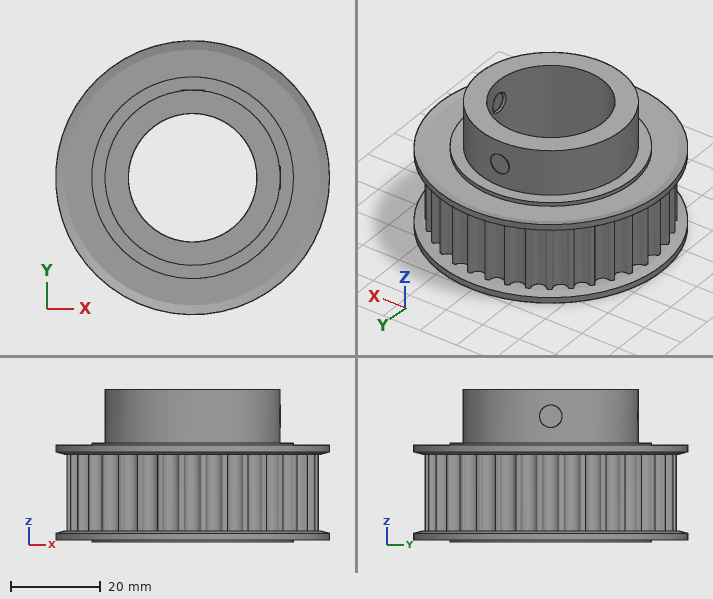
import cadquery as cq
import math

hub_diameter = 39.0
bore_diameter = 28.55
collar_diameter = 44.9
tooth_diameter = 56.1

tooth_count = 36
groove_radius = 1.8
groove_depth = 1.95
groove_edge_round = 0.3

rim_length = 22.0
hub_length = 11.95
collar_height = 1.0

flange_diameter = 61.0
flange_bend_diameter = 56.9
flange_thickness = 1.5
lip_offset = 0.55

screw_diameter = 5.0
screw_length = 5.0
screw_height_on_hub = 6.0
screw_recess = 0.3
screw_chamfer = 0.4
screw_directions = (0, 90)

total_height = rim_length + hub_length
tooth_bottom = collar_height + flange_thickness
tooth_length = rim_length - 2 * tooth_bottom
screw_z = rim_length + screw_height_on_hub
screw_inner_end = bore_diameter / 2 + screw_recess


def make_cylinder(diameter, bottom, height):
    return cq.Workplane("XY").workplane(offset=bottom).circle(diameter / 2).extrude(height)


def make_screw(direction):
    """Set screw with a chamfered inner end, lying radially in the hub wall."""
    screw = (
        cq.Workplane("YZ")
        .workplane(offset=screw_inner_end)
        .center(0, screw_z)
        .circle(screw_diameter / 2)
        .extrude(screw_length)
        .faces("<X")
        .chamfer(screw_chamfer)
    )
    return screw.rotate((0, 0, 0), (0, 0, 1), direction)


def make_screw_hole(direction):
    """Radial hole from the bore centre out through the hub wall."""
    hole = (
        cq.Workplane("YZ")
        .center(0, screw_z)
        .circle(screw_diameter / 2)
        .extrude(hub_diameter)
    )
    return hole.rotate((0, 0, 0), (0, 0, 1), direction)


def make_groove():
    """Round-bottomed tooth groove on +X whose mouth has rounded edges."""
    tip_radius = tooth_diameter / 2
    groove_floor = tip_radius - groove_depth
    groove_centre = groove_floor + groove_radius

    round_centre_radius = tip_radius - groove_edge_round
    centre_gap = groove_radius + groove_edge_round
    round_angle = math.acos(
        (groove_centre**2 + round_centre_radius**2 - centre_gap**2)
        / (2 * groove_centre * round_centre_radius)
    )
    groove_point = cq.Vector(groove_centre, 0)
    outward = cq.Vector(math.cos(round_angle), math.sin(round_angle))
    round_point = outward * round_centre_radius
    to_groove = (groove_point - round_point).normalized()

    tip = round_point + outward * groove_edge_round
    side = round_point + to_groove * groove_edge_round
    middle = round_point + (outward + to_groove).normalized() * groove_edge_round
    mouth_radius = flange_diameter / 2
    return (
        cq.Workplane("XY")
        .workplane(offset=tooth_bottom)
        .moveTo(mouth_radius, -tip.y)
        .lineTo(tip.x, -tip.y)
        .threePointArc((middle.x, -middle.y), (side.x, -side.y))
        .threePointArc((groove_floor, 0), (side.x, side.y))
        .threePointArc((middle.x, middle.y), (tip.x, tip.y))
        .lineTo(mouth_radius, tip.y)
        .close()
        .extrude(tooth_length)
    )


def make_toothed_rim():
    """Cylinder with evenly spaced tooth grooves."""
    rim = make_cylinder(tooth_diameter, tooth_bottom, tooth_length)
    groove = make_groove()
    full_turn = 360
    for index in range(tooth_count):
        rim = rim.cut(groove.rotate((0, 0, 0), (0, 0, 1), full_turn / tooth_count * index))
    return rim


def make_pulley():
    """Toothed rim, collar core and hub in one piece, bored through."""
    core = make_cylinder(collar_diameter, 0, rim_length)
    hub = make_cylinder(hub_diameter, rim_length, hub_length)
    pulley = make_toothed_rim().union(core).union(hub)
    pulley = pulley.cut(make_cylinder(bore_diameter, 0, total_height))
    for direction in screw_directions:
        pulley = pulley.cut(make_screw_hole(direction))
    return pulley


def make_lower_flange():
    """Sheet ring on the lower collar, its lip leaning away from the teeth."""
    collar_radius = collar_diameter / 2
    bend_radius = flange_bend_diameter / 2
    edge_radius = flange_diameter / 2
    return (
        cq.Workplane("XZ")
        .moveTo(collar_radius, collar_height)
        .lineTo(bend_radius, collar_height)
        .lineTo(edge_radius, collar_height - lip_offset)
        .lineTo(edge_radius, tooth_bottom - lip_offset)
        .lineTo(bend_radius, tooth_bottom)
        .lineTo(collar_radius, tooth_bottom)
        .close()
        .revolve(360, (0, 0, 0), (0, 1, 0))
    )


pulley = make_pulley()
lower_flange = make_lower_flange()
upper_flange = lower_flange.mirror("XY", (0, 0, rim_length / 2))
screws = [make_screw(direction) for direction in screw_directions]

result = cq.Compound.makeCompound(
    [pulley.val(), lower_flange.val(), upper_flange.val(), *[screw.val() for screw in screws]]
)